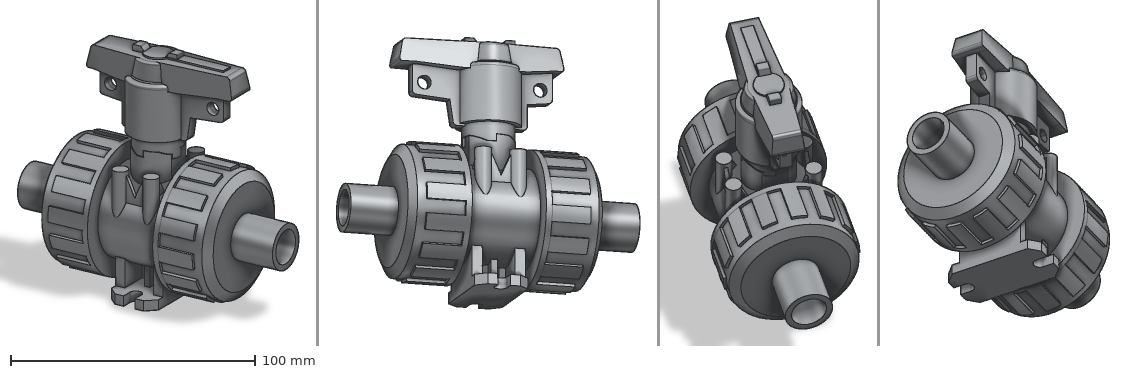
import cadquery as cq
import math


pipe_length = 124
pipe_radius = 10.0
bore_radius = 7.5
body_radius = 21.1

nut_outer_x = 41.7
nut_inner_x = 15.9
nut_radius = 27.7
grip_radius = 29.0
nut_chamfer_length = 2.7
nut_chamfer_depth = 4.3
grip_start_x = 35.1
flange_start_x = 18.5
grip_count = 14
grip_pitch = 360 / grip_count
grip_angle = 13.8

post_x = 7.5
post_y = 17.05
post_radius = 3.5
post_top = 25.0
fin_thickness = 1.7
fin_top = 22.8
fin_slope = 2.15
fin_tilt = 22

neck_radius = 11.4
neck_half_width = 9.98
neck_high = 32.9
neck_low = 29.9
neck_ramp_end = 31.2
neck_high_flat = 6.2
neck_low_flat = 3.6
stem_radius = 11.0
stem_stop_bottom = 29.0
stem_top = 49.4

sleeve_radius = 13.7
sleeve_bottom = 38.1
sleeve_top = 63.1
sleeve_fillet = 1.9
sleeve_slot_width = 6.8
hub_flare_radius = 11.7
hub_flare_height = 0.6
hub_base_radius = 11.3
hub_top_radius = 9.8
hub_fillet = 1.2

bar_left = -30.3
bar_right = 40.0
bar_top = 71.8
bar_end_bottom = 61.9
bar_middle_bottom = 60.4
bar_end_lean = 1.6
bar_end_half_width = 7.2
bar_middle_half_width = 9.5
bar_draft = 7.4
bar_corner_radius = 1.9
bar_lip_height = 1.7
bar_lip_fillet = 0.9

web_thickness = 5.1
web_left = -26.8
web_right = 33.4
web_end_bottom = 49.4
web_step_z = 48.1
web_bottom = 37.3
web_step_left = -16.0
web_step_right = 17.2
web_bottom_right = 15.6
web_end_fillet = 1.7
web_bottom_fillet = 1.6
web_hole_radius = 2.9
web_hole_z = 54.5
web_hole_xs = (-21.6, 28.1)

mark_top = 72.5
disc_radius = 6.39
strip_width = 5.5
tab_width = web_thickness
tab_top = 74.5
tab_outer_x = 10.8
tab_inner_x = 7.0
tab_foot_x = 5.2
tab_fillet = 0.4

foot_bottom = -33.0
foot_top = -28.4
foot_half_length = 22.0
foot_half_width = 11.47
foot_chamfer_x = 4.5
foot_chamfer_y = 4.2
foot_slot_width = 5.5
foot_slot_center_y = 17.05
leg_inner_x = 7.0
leg_half_length = 14.4
pillar_radius = 4.3
rib_thickness = 2.7
rib_half_length = 8.4


def cylinder_z(radius, bottom, top):
    return cq.Workplane("XY").workplane(offset=bottom).circle(radius).extrude(top - bottom)


def cylinder_x(radius, start, end):
    return cq.Workplane("YZ").workplane(offset=start).circle(radius).extrude(end - start)


def box(x0, x1, y0, y1, z0, z1):
    return cq.Workplane("XY").box(x1 - x0, y1 - y0, z1 - z0, centered=False).translate((x0, y0, z0))


def half_turn(shape):
    return shape.rotate((0, 0, 0), (0, 0, 1), 180)


def slab(points, thickness):
    """Extrude an XZ outline evenly to both sides of the plane Y = 0."""
    return cq.Workplane("XZ").polyline(points).close().extrude(thickness / 2, both=True)


def rim_point(radius, angle):
    """YZ point at an angle in degrees measured from the top of the nut toward -Y."""
    return (-radius * math.sin(math.radians(angle)), radius * math.cos(math.radians(angle)))


def make_grip_pad(start_angle):
    """Pad reaching from the drum surface to the flange height, rooted slightly inside the drum."""
    root_radius = nut_radius - 1.2
    end_angle = start_angle + grip_angle
    middle_angle = start_angle + grip_angle / 2
    return (
        cq.Workplane("YZ")
        .workplane(offset=-grip_start_x)
        .moveTo(*rim_point(grip_radius, start_angle))
        .threePointArc(rim_point(grip_radius, middle_angle), rim_point(grip_radius, end_angle))
        .lineTo(*rim_point(root_radius, end_angle))
        .lineTo(*rim_point(root_radius, start_angle))
        .close()
        .extrude(grip_start_x - flange_start_x)
    )


def make_nut():
    """Nut on the -X end: a chamfered drum with a flange and a ring of grip pads."""
    drum_profile = [
        (-nut_outer_x, 0),
        (-nut_outer_x, nut_radius - nut_chamfer_depth),
        (-nut_outer_x + nut_chamfer_length, nut_radius),
        (-flange_start_x, nut_radius),
        (-flange_start_x, grip_radius),
        (-nut_inner_x, grip_radius),
        (-nut_inner_x, 0),
    ]
    nut = cq.Workplane("XZ").polyline(drum_profile).close().revolve(360, (0, 0, 0), (1, 0, 0))
    for index in range(grip_count):
        nut = nut.union(make_grip_pad(index * grip_pitch))
    return nut


def make_fin(direction):
    """Triangular fin that falls away from a post at the origin and ends inside the body."""
    fin_length = post_x
    fin_end_z = fin_top - fin_slope * (fin_length - post_radius)
    outline = [(0, 0), (0, fin_top), (post_radius, fin_top), (fin_length, fin_end_z), (fin_length, 0)]
    return slab(outline, fin_thickness).rotate((0, 0, 0), (0, 0, 1), direction)


def make_posts():
    """Four posts, each with one fin toward its neighbour and one beside the neck."""
    post = cylinder_z(post_radius, 0, post_top).union(make_fin(0)).union(make_fin(90 + fin_tilt))
    front_left = post.translate((-post_x, -post_y, 0))
    front_pair = front_left.union(front_left.mirror("YZ"))
    return front_pair.union(half_turn(front_pair))


def make_neck():
    """Flat-sided neck whose top edge steps and ramps, repeated after half a turn."""
    outline = [
        (-neck_half_width, 0),
        (-neck_half_width, neck_high),
        (-neck_low_flat, neck_low),
        (0, neck_low),
        (0, neck_high),
        (neck_high_flat, neck_high),
        (neck_half_width, neck_ramp_end),
        (neck_half_width, 0),
    ]
    half_block = cq.Workplane("XZ").polyline(outline).close().extrude(neck_radius)
    half_neck = half_block.intersect(cylinder_z(neck_radius, 0, neck_high))
    return half_neck.union(half_turn(half_neck))


def make_stem():
    """Round stem relieved beside the neck, which leaves two opposite quarter-turn stops."""
    stem = cylinder_z(stem_radius, stem_stop_bottom, stem_top)
    relief = box(neck_half_width, stem_radius, 0, stem_radius, stem_stop_bottom, neck_high)
    return stem.cut(relief).cut(half_turn(relief))


def make_handle_slot():
    """Lengthwise slot that leaves a gap on both sides of the handle web."""
    half_width = sleeve_slot_width / 2
    return box(bar_left, bar_right, -half_width, half_width, sleeve_bottom, bar_end_bottom)


def make_sleeve():
    """Slotted sleeve carrying a tapered hub."""
    sleeve = cylinder_z(sleeve_radius, sleeve_bottom, sleeve_top).faces(">Z").edges().fillet(sleeve_fillet)
    hub_profile = [
        (0, sleeve_top),
        (hub_flare_radius, sleeve_top),
        (hub_base_radius, sleeve_top + hub_flare_height),
        (hub_top_radius, bar_top),
        (0, bar_top),
    ]
    hub = cq.Workplane("XZ").polyline(hub_profile).close().revolve(360, (0, 0, 0), (0, 1, 0))
    return sleeve.cut(make_handle_slot()).union(hub.faces(">Z").edges().fillet(hub_fillet))


def make_bar():
    """Drafted bar, widest at the stem, with leaning rounded ends and a sagging underside."""
    outline = [
        (bar_left, bar_end_bottom),
        (bar_left, bar_end_bottom + bar_lip_height),
        (bar_left + bar_end_lean, bar_top),
        (bar_right - bar_end_lean, bar_top),
        (bar_right, bar_end_bottom + bar_lip_height),
        (bar_right, bar_end_bottom),
        (web_right, bar_end_bottom),
        (sleeve_radius, bar_middle_bottom),
        (-sleeve_radius, bar_middle_bottom),
        (web_left, bar_end_bottom),
    ]
    side_block = slab(outline, 4 * bar_middle_half_width)
    side_block = side_block.edges("|Y and >Z").fillet(bar_corner_radius)
    for x in (bar_left, bar_right):
        lip = cq.selectors.NearestToPointSelector((x, 0, bar_end_bottom))
        side_block = side_block.edges("|Y").edges(lip).fillet(bar_lip_fillet)
    overhang = 3.7
    plan_left = bar_left - overhang
    plan_right = bar_right + overhang
    plan = [
        (plan_left, -bar_end_half_width),
        (0, -bar_middle_half_width),
        (plan_right, -bar_end_half_width),
        (plan_right, bar_end_half_width),
        (0, bar_middle_half_width),
        (plan_left, bar_end_half_width),
    ]
    plan_block = (
        cq.Workplane("XY")
        .workplane(offset=bar_middle_bottom)
        .polyline(plan)
        .close()
        .extrude(bar_top - bar_middle_bottom, taper=bar_draft)
    )
    return side_block.intersect(plan_block).cut(make_handle_slot())


def make_web():
    """Upright plate under the bar with a hole near each end."""
    outline = [
        (web_left, bar_end_bottom),
        (web_left, web_end_bottom),
        (web_step_left, web_step_z),
        (web_step_left, web_bottom),
        (web_bottom_right, web_bottom),
        (web_step_right, web_step_z),
        (web_right, web_end_bottom),
        (web_right, bar_end_bottom),
    ]
    web = slab(outline, web_thickness)
    web = web.edges("|Y and <Z").fillet(web_bottom_fillet)
    for x in (web_left, web_right):
        corner = cq.selectors.NearestToPointSelector((x, 0, web_end_bottom))
        web = web.edges("|Y").edges(corner).fillet(web_end_fillet)
    holes = (
        cq.Workplane("XZ")
        .pushPoints([(x, web_hole_z) for x in web_hole_xs])
        .circle(web_hole_radius)
        .extrude(web_thickness, both=True)
    )
    return web.cut(holes)


def make_marks():
    """Raised disc, strip and two sloping tabs on top of the bar."""
    marks = cylinder_z(disc_radius, bar_top - hub_fillet, mark_top)
    strip = box(0, web_right, -strip_width / 2, strip_width / 2, bar_top - hub_fillet, mark_top)
    tab_outline = [
        (tab_foot_x, bar_top - hub_fillet),
        (tab_foot_x, mark_top),
        (tab_inner_x, tab_top),
        (tab_outer_x, tab_top),
        (tab_outer_x, bar_top - hub_fillet),
    ]
    tab = slab(tab_outline, tab_width).edges("|Y and >Z").fillet(tab_fillet)
    return marks.union(strip).union(tab).union(half_turn(tab))


def make_foot():
    """Slotted base plate on two legs, a central pillar and crossed ribs."""
    chamfer_x = foot_half_width - foot_chamfer_x
    chamfer_y = foot_half_length - foot_chamfer_y
    plate_outline = [
        (-foot_half_width, -chamfer_y),
        (-chamfer_x, -foot_half_length),
        (chamfer_x, -foot_half_length),
        (foot_half_width, -chamfer_y),
        (foot_half_width, chamfer_y),
        (chamfer_x, foot_half_length),
        (-chamfer_x, foot_half_length),
        (-foot_half_width, chamfer_y),
    ]
    plate = cq.Workplane("XY").workplane(offset=foot_bottom).polyline(plate_outline).close()
    foot = plate.extrude(foot_top - foot_bottom)
    slot_radius = foot_slot_width / 2
    slot = cylinder_z(slot_radius, foot_bottom, foot_top).union(
        box(-slot_radius, slot_radius, 0, foot_half_length, foot_bottom, foot_top)
    )
    slot = slot.translate((0, foot_slot_center_y, 0))
    foot = foot.cut(slot).cut(half_turn(slot))

    leg = box(leg_inner_x, foot_half_width, -leg_half_length, leg_half_length, foot_top, 0)
    pillar = cylinder_z(pillar_radius, foot_top, 0)
    long_rib = box(-rib_thickness / 2, rib_thickness / 2, -rib_half_length, rib_half_length, foot_top, 0)
    cross_rib = box(-foot_half_width, foot_half_width, -rib_thickness / 2, rib_thickness / 2, foot_top, 0)
    for support in (leg, half_turn(leg), pillar, long_rib, cross_rib):
        foot = foot.union(support)
    return foot


valve = cylinder_x(pipe_radius, -pipe_length / 2, pipe_length / 2)
valve = valve.union(cylinder_x(body_radius, -nut_inner_x, nut_inner_x))
nut = make_nut()
for feature in (nut, half_turn(nut), make_posts(), make_neck(), make_foot()):
    valve = valve.union(feature)
for feature in (make_stem(), make_sleeve(), make_bar(), make_web(), make_marks()):
    valve = valve.union(feature)

result = valve.cut(cylinder_x(bore_radius, -pipe_length / 2, pipe_length / 2))